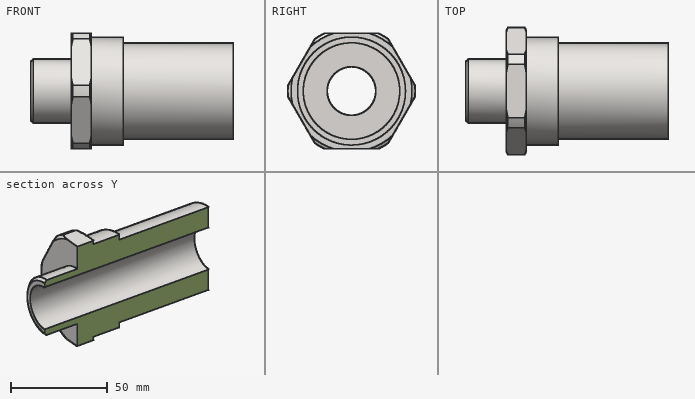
import cadquery as cq
import math

total_length = 105.0
spigot_length = 21.0
hex_length = 10.5
collar_length = 16.5

bore_diameter = 25.0
spigot_diameter = 33.3
collar_diameter = 56.0
body_diameter = 50.0

hex_across_flats = 60.0
hex_corner_diameter = 66.0
hex_face_diameter = 62.6
hex_chamfer_length = 0.9

spigot_chamfer = 1.5

hex_start = spigot_length
collar_start = hex_start + hex_length
body_start = collar_start + collar_length
body_length = total_length - body_start


def cylinder(start, length, diameter):
    """Solid cylinder about the X axis."""
    return cq.Workplane("YZ", origin=(start, 0, 0)).circle(diameter / 2).extrude(length)


def hexagon():
    """Hexagonal flange with turned corners and a conical chamfer on both faces."""
    across_corners = hex_across_flats / math.cos(math.pi / 6)
    prism = (
        cq.Workplane("YZ", origin=(hex_start, 0, 0))
        .polygon(6, across_corners)
        .extrude(hex_length)
    )
    face_radius = hex_face_diameter / 2
    corner_radius = hex_corner_diameter / 2
    turned_blank = (
        cq.Workplane("XY")
        .polyline([
            (hex_start, 0),
            (hex_start, face_radius),
            (hex_start + hex_chamfer_length, corner_radius),
            (collar_start - hex_chamfer_length, corner_radius),
            (collar_start, face_radius),
            (collar_start, 0),
        ])
        .close()
        .revolve(360, (0, 0, 0), (1, 0, 0))
    )
    return prism.intersect(turned_blank)


spigot = cylinder(0, spigot_length, spigot_diameter).faces("<X").chamfer(spigot_chamfer)
collar = cylinder(collar_start, collar_length, collar_diameter)
body = cylinder(body_start, body_length, body_diameter)
bore = cylinder(0, total_length, bore_diameter)

result = spigot.union(hexagon()).union(collar).union(body).cut(bore)